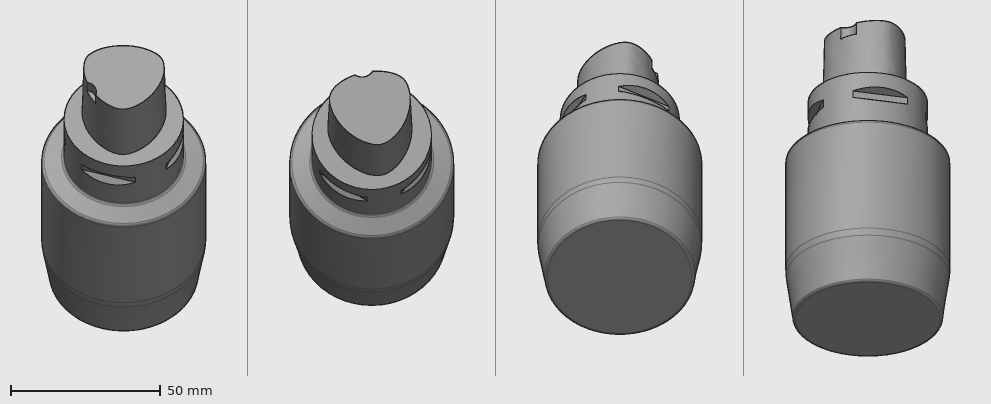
import cadquery as cq
import math

total_height = 108.0
shoulder_height = 84.0
shank_height = total_height - shoulder_height

body_radius = 55.0 / 2
collar_radius = 40.0 / 2
cone_end_height = 17.8
nose_taper = math.radians(8)
nose_radius = body_radius - cone_end_height * math.tan(nose_taper)
nose_blend_radius = 18.9
nose_edge_radius = 0.9
body_top_height = 61.1
step_slope = math.radians(15)
step_top_height = body_top_height + (body_radius - collar_radius) * math.tan(step_slope)
step_edge_radius = 1.1
neck_fillet_radius = 1.1

shank_base_radius = 14.09
lobe_amount = 1.0
taper_per_side = 1 / 40
shank_top_radius = shank_base_radius - shank_height * taper_per_side
outline_steps = 36

notch_radius = 4.0
notch_depth = 4.4
notch_bottom_y = -10.9

slot_count = 4
slot_first_angle = 45
slot_floor_distance = 17.6
slot_floor_height = 2.5
slot_flare = math.radians(30)
slot_mid_height = 75.9
slot_margin = 1.1


def make_body():
    """Revolved chuck body and collar, with rounded edges."""
    profile = (
        cq.Workplane("XZ")
        .lineTo(nose_radius, 0)
        .lineTo(body_radius, cone_end_height)
        .lineTo(body_radius, body_top_height)
        .lineTo(collar_radius, step_top_height)
        .lineTo(collar_radius, shoulder_height)
        .lineTo(0, shoulder_height)
        .close()
    )
    body = profile.revolve(360, (0, 0, 0), (0, 1, 0))
    edge_rounds = (
        (0, nose_edge_radius),
        (cone_end_height, nose_blend_radius),
        (body_top_height, step_edge_radius),
        (step_top_height, neck_fillet_radius),
    )
    half_band = 0.01
    for height, radius in edge_rounds:
        band = cq.selectors.BoxSelector(
            (-body_radius, -body_radius, height - half_band),
            (body_radius, body_radius, height + half_band),
        )
        body = body.edges("%CIRCLE").edges(band).fillet(radius)
    return body


def lobe_point(mean_radius, angle):
    """Point of a constant-width trilobe with one lobe toward +Y."""
    phase = 3 * (angle - math.pi / 2)
    support = mean_radius + lobe_amount * math.cos(phase)
    slope = -3 * lobe_amount * math.sin(phase)
    x = support * math.cos(angle) - slope * math.sin(angle)
    y = support * math.sin(angle) + slope * math.cos(angle)
    return x, y


def lobe_outline(mean_radius):
    return [lobe_point(mean_radius, 2 * math.pi * i / outline_steps) for i in range(outline_steps)]


def make_shank():
    return (
        cq.Workplane("XY")
        .workplane(offset=shoulder_height)
        .spline(lobe_outline(shank_base_radius), periodic=True)
        .close()
        .workplane(offset=shank_height)
        .spline(lobe_outline(shank_top_radius), periodic=True)
        .close()
        .loft(ruled=True)
    )


def make_notch():
    return (
        cq.Workplane("XY")
        .workplane(offset=total_height - notch_depth)
        .center(0, notch_bottom_y - notch_radius)
        .circle(notch_radius)
        .extrude(notch_depth)
    )


def make_slot(angle):
    """Straight slot across the collar with a flat floor and flared sides."""
    outer = collar_radius + slot_margin
    floor_half = slot_floor_height / 2
    mouth_half = floor_half + (outer - slot_floor_distance) * math.tan(slot_flare)
    return (
        cq.Workplane("XZ")
        .moveTo(slot_floor_distance, slot_mid_height - floor_half)
        .lineTo(outer, slot_mid_height - mouth_half)
        .lineTo(outer, slot_mid_height + mouth_half)
        .lineTo(slot_floor_distance, slot_mid_height + floor_half)
        .close()
        .extrude(collar_radius, both=True)
        .rotate((0, 0, 0), (0, 0, 1), angle)
    )


result = make_body().union(make_shank()).cut(make_notch())
for index in range(slot_count):
    result = result.cut(make_slot(slot_first_angle + index * 360 / slot_count))